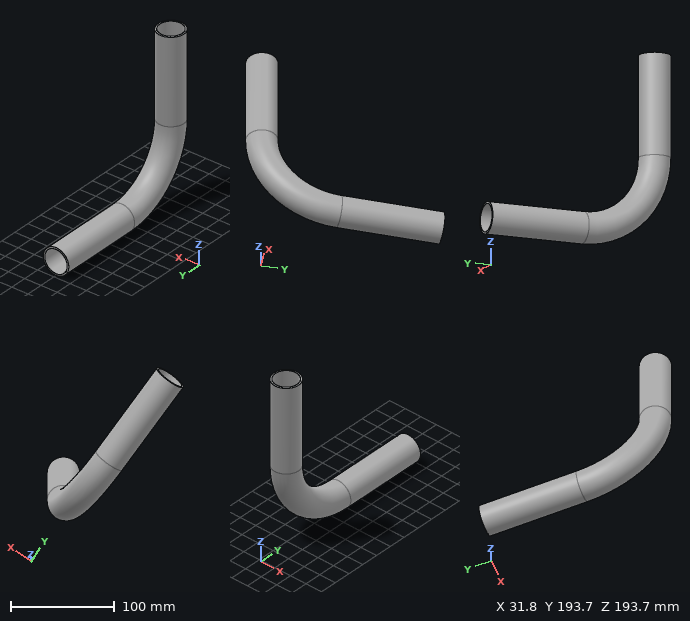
import cadquery as cq

overall_length = 193.7
outer_diameter = 31.8
inner_diameter = 27.5
leg_length = 101.7
bend_angle = 90.0

outer_radius = outer_diameter / 2
bend_radius = overall_length - leg_length - outer_radius


def tube_section(workplane):
    """Draw the ring-shaped cross-section of the tube."""
    return workplane.circle(outer_diameter / 2).circle(inner_diameter / 2)


vertical_leg = tube_section(cq.Workplane("XY")).extrude(leg_length)

bend = tube_section(cq.Workplane("XY")).revolve(
    bend_angle, (0, bend_radius, 0), (1, bend_radius, 0)
)

horizontal_start = cq.Workplane("XZ", origin=(0, bend_radius, -bend_radius))
horizontal_leg = tube_section(horizontal_start).extrude(-leg_length)

result = vertical_leg.union(bend).union(horizontal_leg)